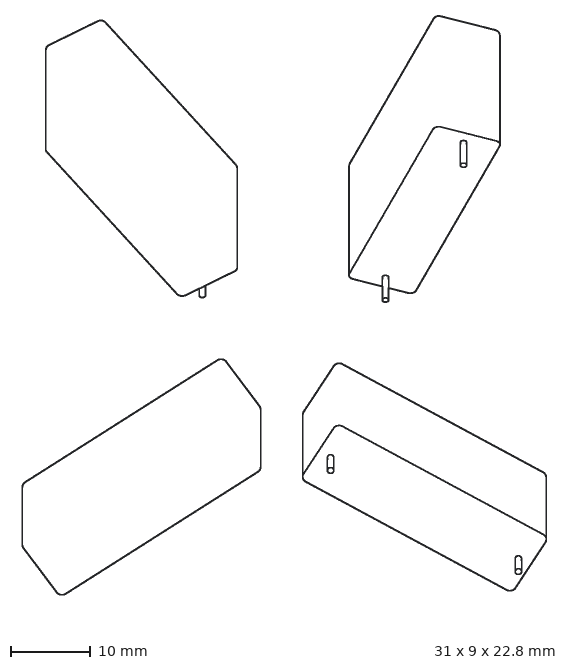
import cadquery as cq

housing_length = 31.0
housing_width = 9.0
housing_height = 19.0
edge_radius = 0.8

pin_diameter = 0.8
pin_length = 3.78
pin_pitch = 27.47


def make_housing():
    """Box with rounded upright and top edges and a sharp bottom rim."""
    box = cq.Workplane("XY").box(
        housing_length, housing_width, housing_height, centered=(True, True, False)
    )
    return box.edges("|Z or >Z").fillet(edge_radius)


def make_pin(x):
    """Straight pin hanging from the underside of the housing."""
    return cq.Workplane("XY").center(x, 0).circle(pin_diameter / 2).extrude(-pin_length)


housing = make_housing()
pins = [make_pin(side * pin_pitch / 2) for side in (-1, 1)]

result = cq.Compound.makeCompound([housing.val(), *[pin.val() for pin in pins]])